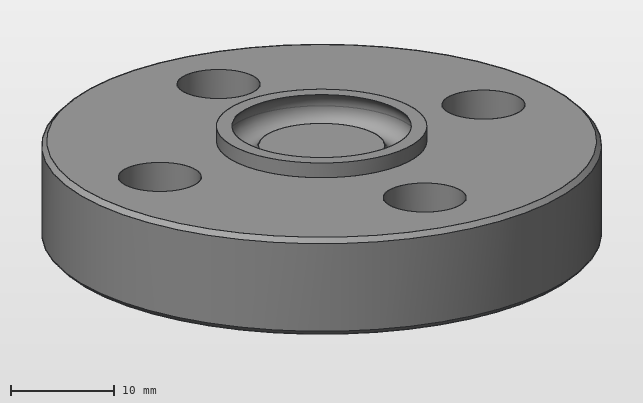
import cadquery as cq

flange_diameter = 54.0
flange_thickness = 10.0
edge_chamfer = 0.5

boss_diameter = 20.3
boss_height = 1.5

pad_depth = 2.0
groove_diameter = 15.45
groove_section_radius = 1.75
groove_center_depth = 1.45

hole_diameter = 8.0
bolt_circle_diameter = 37.0
hole_count = 4

top_z = flange_thickness + boss_height


def make_flange():
    """Disc with both rims chamfered."""
    disc = cq.Workplane("XY").circle(flange_diameter / 2).extrude(flange_thickness)
    return disc.edges().chamfer(edge_chamfer)


def make_boss():
    """Raised round face in the middle of the flange."""
    boss = cq.Workplane("XY").workplane(offset=flange_thickness)
    return boss.circle(boss_diameter / 2).extrude(boss_height)


def make_recess():
    """Sunken round pad ringed by a groove of circular section that undercuts the boss rim."""
    pocket = (
        cq.Workplane("XY")
        .workplane(offset=top_z - pad_depth)
        .circle(groove_diameter / 2)
        .extrude(pad_depth)
    )
    groove = cq.Solid.makeTorus(
        groove_diameter / 2, groove_section_radius, cq.Vector(0, 0, top_z - groove_center_depth)
    )
    return pocket.union(cq.Workplane(groove))


def make_bolt_holes():
    """Through holes evenly spaced on the bolt circle, starting on +X."""
    holes = cq.Workplane("XY").polarArray(bolt_circle_diameter / 2, 0, 360, hole_count)
    return holes.circle(hole_diameter / 2).extrude(flange_thickness)


result = make_flange().union(make_boss()).cut(make_recess()).cut(make_bolt_holes())